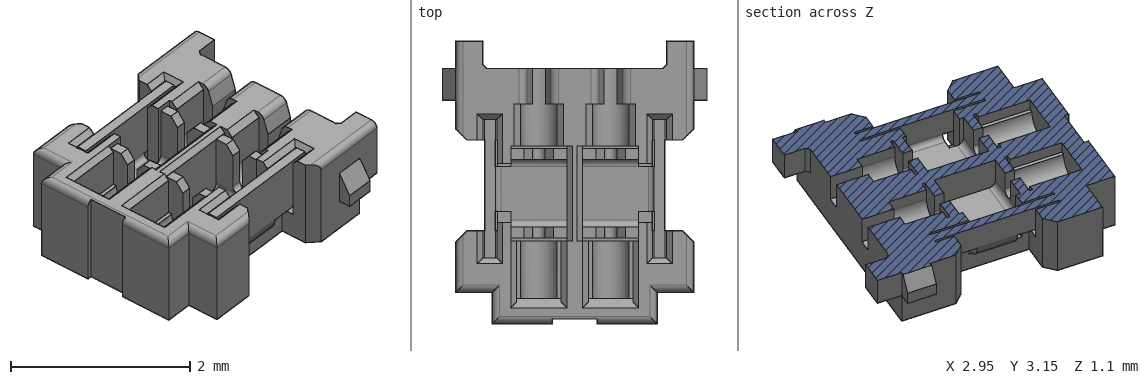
import cadquery as cq
import math


height = 1.1
length = 3.15
overall_width = 2.95
block_half = 1.325
nose_half = 0.92
nose_depth = 0.35
back_y = 2.848
arm_inner_half = 1.025
arm_bottom_z = 0.385
arm_corner = 0.045
top_round = 0.082
front_notch_half = 0.25
front_notch_depth = 0.055

waist_half = 0.865
waist_front_y = 1.04
waist_back_y = 2.048
block_corner = 0.125
lead_in = 0.063

latch_tip_half = overall_width / 2
latch_depth = 0.355
latch_edge_z = 0.535
latch_top_z = 0.778
latch_root_x = 1.197

pitch = 0.8
cavity_half = 0.312
front_cavity_y = 0.18
front_lead_in = 0.105
cavity_front_y = 0.925
cavity_back_y = 1.985
floor_z = 0.34
groove_radius = 0.205
groove_bottom_z = 0.378
groove_axis_z = groove_bottom_z + groove_radius

rib_thickness = 0.12
rib_gap = 0.03
rib_top_z = 1.04
rib_foot = 0.082
rib_slot_half = 0.07
rib_slot_mouth_half = 0.165
rib_slot_mouth_depth = 0.113

channel_step_y = 2.45
channel_lead_in = 0.072
wire_slot_half = 0.072
wire_mouth_half = 0.22
wire_mouth_radius = 0.095
wire_mouth_draft = math.radians(18)

strip_thickness = 0.12
strip_inner_half = 0.885
strip_outer_half = strip_inner_half + strip_thickness
strip_front_y = 0.735
strip_back_y = 2.277
strip_drop = 0.047
strip_top_z = height - strip_drop
bend_radius = 0.063
strip_bottom_z = floor_z + bend_radius
slot_inner_half = waist_half
slot_outer_half = 1.025
slot_floor_z = 0.315
tab_front_y = 1.255
tab_back_y = 1.755
window_front_y = 1.13
window_back_y = 1.79
window_bottom_z = floor_z - strip_thickness


def box(x0, x1, y0, y1, z0, z1):
    return cq.Workplane("XY").box(x1 - x0, y1 - y0, z1 - z0, centered=False).translate((x0, y0, z0))


def along_y(profile, y0, y1):
    """Extrude a closed profile, drawn on XZ, from y0 to y1."""
    return profile.extrude(y0 - y1).translate((0, y0, 0))


def mirrored(half):
    """Join a shape with its mirror image across x = 0."""
    return half.union(half.mirror("YZ"))


def flared_outline(plane, low, high, z0, flare):
    """Outline open at the top, running from low to high at the mouth, narrowing by flare at 45 degrees."""
    flare_z = height - flare
    return cq.Workplane(plane).polyline([
        (low, height), (low + flare, flare_z), (low + flare, z0),
        (high - flare, z0), (high - flare, flare_z), (high, height),
    ]).close()


def flared_pit(x0, x1, y0, y1, z0, flare_x, flare_y):
    """Rectangular pit with a flared mouth on all four sides."""
    across = along_y(flared_outline("XZ", x0, x1, z0, flare_x), y0, y1)
    lengthwise = flared_outline("YZ", y0, y1, z0, flare_y).extrude(x1 - x0).translate((x0, 0, 0))
    return across.intersect(lengthwise)


def housing():
    corner_half = block_half - block_corner
    right_side = [
        (nose_half, 0), (nose_half, nose_depth), (block_half, nose_depth),
        (block_half, waist_front_y - block_corner), (corner_half, waist_front_y),
        (waist_half, waist_front_y), (waist_half, waist_back_y), (corner_half, waist_back_y),
        (block_half, waist_back_y + block_corner), (block_half, length), (arm_inner_half, length),
        (arm_inner_half, back_y + arm_corner), (arm_inner_half - arm_corner, back_y),
    ]
    left_side = [(-x, y) for x, y in reversed(right_side)]
    body = cq.Workplane("XY").polyline(right_side + left_side).close().extrude(height)
    tolerance = 0.0003

    def is_rounded(edge):
        middle = edge.Center()
        on_block_side = math.isclose(abs(middle.x), block_half, abs_tol=tolerance)
        on_front = middle.y < nose_depth + tolerance
        return on_block_side or on_front

    body = body.faces(">Z").edges().filter(is_rounded).fillet(top_round)
    notch = box(-front_notch_half, front_notch_half, 0, front_notch_depth, 0, height)
    under_arms = box(-block_half, block_half, back_y, length, 0, arm_bottom_z)
    return body.cut(notch).cut(under_arms)


def latch():
    profile = cq.Workplane("XZ").polyline([
        (latch_root_x, arm_bottom_z), (latch_tip_half, arm_bottom_z),
        (latch_tip_half, latch_edge_z), (block_half, latch_top_z), (latch_root_x, latch_top_z),
    ]).close()
    return along_y(profile, back_y - latch_depth, back_y)


def strip_slot():
    return flared_pit(slot_inner_half - lead_in, slot_outer_half + lead_in, strip_front_y - lead_in,
                      strip_back_y + lead_in, slot_floor_z, lead_in, lead_in)


def strip():
    return box(strip_inner_half, strip_outer_half, strip_front_y, strip_back_y, strip_bottom_z, strip_top_z)


def tab():
    """Plate level with the cavity floor that bends up into the strip."""
    bend_x = strip_inner_half - bend_radius
    outer_radius = bend_radius + strip_thickness
    diagonal = math.sqrt(0.5)
    root_x = pitch / 2 + cavity_half
    profile = (
        cq.Workplane("XZ").moveTo(root_x, floor_z).lineTo(bend_x, floor_z)
        .threePointArc((bend_x + bend_radius * diagonal, strip_bottom_z - bend_radius * diagonal),
                       (strip_inner_half, strip_bottom_z))
        .lineTo(strip_outer_half, strip_bottom_z)
        .threePointArc((bend_x + outer_radius * diagonal, strip_bottom_z - outer_radius * diagonal),
                       (bend_x, window_bottom_z))
        .lineTo(root_x, window_bottom_z).close()
    )
    return along_y(profile, tab_front_y, tab_back_y)


def groove(half_width, y0, y1):
    """Upright walls above a half-round floor, limited to half_width each side of the centre."""
    bore = along_y(cq.Workplane("XZ").center(0, groove_axis_z).circle(groove_radius), y0, y1)
    upper = box(-groove_radius, groove_radius, y0, y1, groove_axis_z, height)
    return bore.union(upper).intersect(box(-half_width, half_width, y0, y1, 0, height))


def wire_mouth():
    """Rounded, tapering mouth of the narrow slot at the back."""
    centre_z = height - wire_mouth_radius

    def on_round(angle):
        return (wire_mouth_half - wire_mouth_radius * math.cos(angle),
                centre_z + wire_mouth_radius * math.sin(angle))

    taper_x, taper_z = on_round(wire_mouth_draft)
    middle_x, middle_z = on_round((wire_mouth_draft + math.pi / 2) / 2)
    slot_z = taper_z - (taper_x - wire_slot_half) / math.tan(wire_mouth_draft)
    profile = (
        cq.Workplane("XZ").moveTo(-wire_mouth_half, height)
        .threePointArc((-middle_x, middle_z), (-taper_x, taper_z))
        .lineTo(-wire_slot_half, slot_z).lineTo(wire_slot_half, slot_z).lineTo(taper_x, taper_z)
        .threePointArc((middle_x, middle_z), (wire_mouth_half, height)).close()
    )
    return along_y(profile, channel_step_y, back_y)


def cross_rib(face_y, inward):
    """Slotted rib whose outer face is at face_y; inward is +1 or -1, toward the cavity middle."""
    inner_y = face_y + inward * rib_thickness
    foot_z = floor_z + rib_foot
    foot_y = inner_y + inward * rib_foot
    drop = rib_foot * (1 - math.sqrt(0.5))
    side = (
        cq.Workplane("YZ").moveTo(face_y, floor_z).lineTo(face_y, rib_top_z).lineTo(inner_y, rib_top_z)
        .lineTo(inner_y, foot_z)
        .threePointArc((inner_y + inward * drop, floor_z + drop), (foot_y, floor_z)).close()
    )
    rib = side.extrude(cavity_half, both=True)
    mouth_z = rib_top_z - rib_slot_mouth_depth
    slot_axis_z = foot_z + rib_slot_half
    slot = (
        cq.Workplane("XZ").moveTo(-rib_slot_mouth_half, rib_top_z).lineTo(-rib_slot_half, mouth_z)
        .lineTo(-rib_slot_half, slot_axis_z)
        .threePointArc((0, foot_z), (rib_slot_half, slot_axis_z))
        .lineTo(rib_slot_half, mouth_z).lineTo(rib_slot_mouth_half, rib_top_z).close()
    )
    return rib.cut(along_y(slot, min(face_y, foot_y), max(face_y, foot_y)))


def cavity():
    """Everything removed for one contact, centred on x = 0."""
    front = flared_pit(-cavity_half, cavity_half, front_cavity_y, cavity_front_y + front_lead_in,
                       groove_axis_z, lead_in, front_lead_in)
    front = front.intersect(box(-cavity_half, cavity_half, 0, cavity_front_y, 0, height))
    front_groove = groove(groove_radius, front_cavity_y + front_lead_in, cavity_front_y)
    middle = box(-cavity_half, cavity_half, cavity_front_y, cavity_back_y, floor_z, height)
    channel = groove(groove_radius, cavity_back_y, channel_step_y)
    channel_mouth_half = groove_radius + channel_lead_in
    channel_mouth = flared_outline("XZ", -channel_mouth_half, channel_mouth_half, groove_axis_z,
                                   channel_lead_in)
    channel_flare = along_y(channel_mouth, cavity_back_y, channel_step_y)
    wire_slot = groove(wire_slot_half, channel_step_y, back_y)
    hollow = front.union(front_groove).union(middle).union(channel).union(channel_flare)
    hollow = hollow.union(wire_slot).union(wire_mouth())
    hollow = hollow.cut(cross_rib(cavity_front_y + rib_gap, 1))
    return hollow.cut(cross_rib(cavity_back_y - rib_gap, -1))


def divider_flare():
    """45 degree flare on the wall between the two cavities."""
    wall_half = pitch / 2 - cavity_half
    profile = cq.Workplane("XZ").polyline([
        (wall_half, height), (wall_half, height - lead_in), (wall_half - lead_in, height),
    ]).close()
    return along_y(profile, cavity_front_y, cavity_back_y)


def window():
    """Opening through the outer cavity wall, from the tab up to the top."""
    return box(pitch / 2 + cavity_half, waist_half, window_front_y, window_back_y, window_bottom_z, height)


result = housing().union(mirrored(latch())).cut(mirrored(strip_slot()))
for side in (-1, 1):
    result = result.cut(cavity().translate((side * pitch / 2, 0, 0)))
result = result.cut(mirrored(divider_flare())).cut(mirrored(window()))
result = result.union(mirrored(strip())).union(mirrored(tab()))